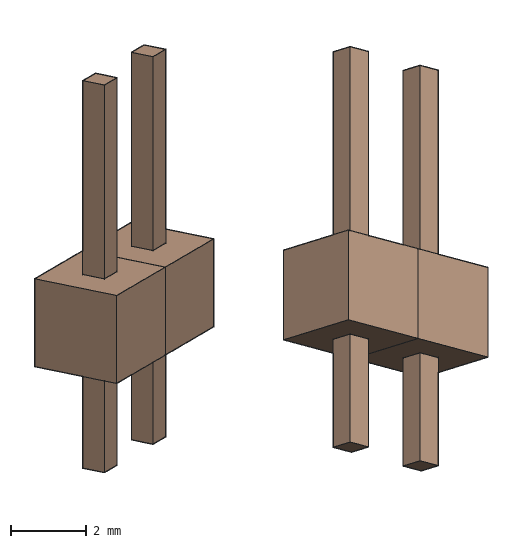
import cadquery as cq

pin_length = 11.0
pin_width = 0.67
pitch = 2.54
position_count = 2

block_side = pitch
block_height = 2.5
tail_length = 3.0


def pin_position(index):
    """Y of a pin axis, with the row centred on the origin."""
    return (index - (position_count - 1) / 2) * pitch


def make_pin(y):
    """Square pin standing on Z = 0."""
    return (
        cq.Workplane("XY")
        .center(0, y)
        .rect(pin_width, pin_width)
        .extrude(pin_length)
    )


def make_housing(y):
    """Square block with a through hole that fits the pin."""
    return (
        cq.Workplane("XY", origin=(0, 0, tail_length))
        .center(0, y)
        .rect(block_side, block_side)
        .rect(pin_width, pin_width)
        .extrude(block_height)
    )


bodies = []
for index in range(position_count):
    y = pin_position(index)
    bodies.append(make_housing(y).val())
    bodies.append(make_pin(y).val())

result = cq.Compound.makeCompound(bodies)